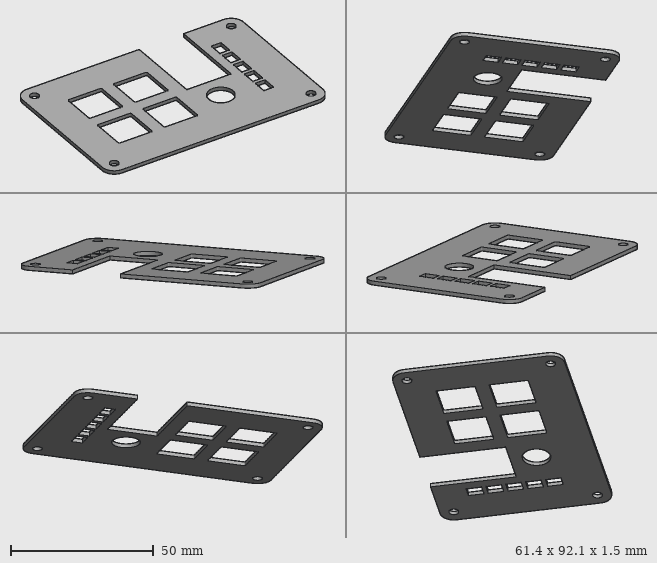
import cadquery as cq

plate_width = 61.35
plate_length = 92.1
plate_thickness = 1.5
corner_radius = 5.0

mount_diameter = 3.4
mount_spacing_x = plate_width - 2 * corner_radius
mount_spacing_y = plate_length - 2 * corner_radius

notch_depth = plate_width / 2
notch_height = 18.5
notch_center_y = 15.1

knob_diameter = 10.0
knob_center = (9.4, 14.0)

key_size = 14.0
key_pitch = 19.0
key_corner_radius = 0.5
key_grid_center = (-0.55, -16.3)

window_count = 5
window_width = 5.5
window_height = 4.05
window_pitch = 7.1
window_row_center = (-1.75, 30.2)


def rectangular_cutter(width, height):
    """Block as thick as the plate, centred on the origin in X and Y."""
    return cq.Workplane("XY").rect(width, height).extrude(plate_thickness)


def cut_grid(plate, cutter, center, columns, rows, pitch):
    """Cut copies of a cutter on an evenly spaced grid about a centre point."""
    for column in range(columns):
        for row in range(rows):
            x = center[0] + (column - (columns - 1) / 2) * pitch
            y = center[1] + (row - (rows - 1) / 2) * pitch
            plate = plate.cut(cutter.translate((x, y, 0)))
    return plate


plate = rectangular_cutter(plate_width, plate_length).edges("|Z").fillet(corner_radius)

plate = (
    plate.faces(">Z").workplane(origin=(0, 0, plate_thickness))
    .rect(mount_spacing_x, mount_spacing_y, forConstruction=True)
    .vertices()
    .hole(mount_diameter)
)

notch_center_x = -plate_width / 2 + notch_depth / 2
notch = rectangular_cutter(notch_depth, notch_height)
plate = plate.cut(notch.translate((notch_center_x, notch_center_y, 0)))

knob = cq.Workplane("XY").center(*knob_center).circle(knob_diameter / 2).extrude(plate_thickness)
plate = plate.cut(knob)

key = rectangular_cutter(key_size, key_size).edges("|Z").fillet(key_corner_radius)
plate = cut_grid(plate, key, key_grid_center, 2, 2, key_pitch)

window = rectangular_cutter(window_width, window_height)
result = cut_grid(plate, window, window_row_center, window_count, 1, window_pitch)